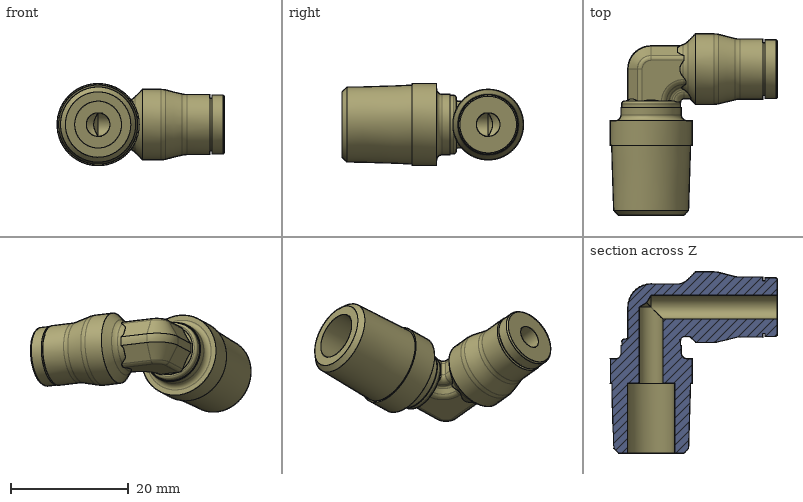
import cadquery as cq
import math


overall_length_x = 28.5
overall_length_y = 30.9
collar_diameter = 14.0
collar_radius = collar_diameter / 2
barrel_radius = 6.03

cap_radius = 5.0
cap_start = 5.4
cap_rounding = 0.5
neck_radius = 5.15
neck_start = 6.5
neck_fillet = 0.93
collar_start = 8.75
collar_end = 12.95
thread_end = overall_length_y - barrel_radius
thread_start_radius = 6.75
thread_taper = 1 / 32
thread_chamfer_length = 0.85
thread_tip_radius = 5.55
flare_start = 5.07
flare_radius = 4.2

shoulder_foot = 4.5
shoulder_blend_start = 5.4
shoulder_foot_angle = math.radians(20)
shoulder_cone_angle = math.radians(45)
shoulder_cone_start = 6.27
barrel_start = 7.57
barrel_end = 10.65
taper_end = 15.1
sleeve_radius = 5.13
sleeve_end = 19.0
release_ring_start = 19.35
release_ring_radius = 5.05
release_ring_chamfer_radius = 4.82
release_ring_chamfer_length = 0.28
groove_radius = 4.5
leg_end = overall_length_x - collar_radius
taper_arc_length = 0.83

elbow_half_height = 4.0
elbow_round_radius = 4.0
slant_distance = 3.77
slant_angle = math.radians(60)
outer_edge_fillet = 0.93
inner_corner = 5.55
inner_slant_shift = 0.28
inner_edge_fillet = 1.0
rib_half_height = 2.4
rib_fillet = 0.5
rib_rounding = 1.2
inner_bend_radius = 0.5
rib_end = 6.8

bore_radius = 2.0
drill_half_angle = math.radians(59)
drill_tip_depth = bore_radius / math.tan(drill_half_angle)
counterbore_radius = 4.0


def revolve_about_x(outline):
    return outline.close().revolve(360, (0, 0, 0), (1, 0, 0))


def revolve_about_y(outline):
    return outline.close().revolve(360, (0, 0, 0), (0, 1, 0))


def make_threaded_leg():
    thread_chamfer_start = thread_end - thread_chamfer_length
    thread_end_radius = thread_start_radius - (thread_chamfer_start - collar_end) * thread_taper
    outline = (
        cq.Workplane("XY")
        .moveTo(0, -flare_start)
        .lineTo(slant_distance, -flare_start)
        .lineTo(flare_radius, -cap_start)
        .lineTo(cap_radius - cap_rounding, -cap_start)
        .tangentArcPoint((cap_radius, -cap_start - cap_rounding), relative=False)
        .lineTo(cap_radius, -neck_start)
        .lineTo(neck_radius, -neck_start)
        .lineTo(neck_radius, -collar_start + neck_fillet)
        .tangentArcPoint((neck_radius + neck_fillet, -collar_start), relative=False)
        .lineTo(collar_radius, -collar_start)
        .lineTo(collar_radius, -collar_end)
        .lineTo(thread_start_radius, -collar_end)
        .lineTo(thread_end_radius, -thread_chamfer_start)
        .lineTo(thread_tip_radius, -thread_end)
        .lineTo(0, -thread_end)
    )
    return revolve_about_y(outline)


def make_push_in_leg():
    cone_length = barrel_start - shoulder_cone_start
    cone_start_radius = barrel_radius - cone_length * math.tan(shoulder_cone_angle)
    blend_length = shoulder_cone_start - shoulder_blend_start
    blend_chord_angle = (shoulder_foot_angle + shoulder_cone_angle) / 2
    blend_start_radius = cone_start_radius - blend_length * math.tan(blend_chord_angle)
    foot_length = shoulder_blend_start - shoulder_foot
    foot_radius = blend_start_radius - foot_length * math.tan(shoulder_foot_angle)
    taper_length = taper_end - barrel_end
    taper_angle = math.atan((barrel_radius - sleeve_radius) / (taper_length - taper_arc_length))
    arc_drop = taper_arc_length * math.tan(taper_angle / 2)
    ring_chamfer_start = leg_end - release_ring_chamfer_length
    outline = (
        cq.Workplane("XY")
        .moveTo(leg_end, 0)
        .lineTo(leg_end, release_ring_chamfer_radius)
        .lineTo(ring_chamfer_start, release_ring_radius)
        .lineTo(release_ring_start, release_ring_radius)
        .lineTo(release_ring_start, groove_radius)
        .lineTo(sleeve_end, groove_radius)
        .lineTo(sleeve_end, sleeve_radius)
        .lineTo(taper_end, sleeve_radius)
        .tangentArcPoint((taper_end - taper_arc_length, sleeve_radius + arc_drop), relative=False)
        .lineTo(barrel_end + taper_arc_length, barrel_radius - arc_drop)
        .tangentArcPoint((barrel_end, barrel_radius), relative=False)
        .lineTo(barrel_start, barrel_radius)
        .lineTo(shoulder_cone_start, cone_start_radius)
        .tangentArcPoint((shoulder_blend_start, blend_start_radius), relative=False)
        .lineTo(shoulder_foot, foot_radius)
        .lineTo(shoulder_foot, 0)
    )
    return revolve_about_x(outline)


def slant_offset(height):
    """Distance from the middle plane of the pipe to a slanted face at a height."""
    return (slant_distance - height * math.cos(slant_angle)) / math.sin(slant_angle)


def fillet_span(radius):
    """Sideways and vertical extent of an arc that turns from level to the slant."""
    return radius * math.sin(slant_angle), radius * (1 - math.cos(slant_angle))


def draw_outer_half(workplane):
    """Upper half of the section on the outer side of the bend (negative first axis)."""
    side, drop = fillet_span(outer_edge_fillet)
    slant_top = elbow_half_height - drop
    slant_top_offset = slant_offset(slant_top)
    slant_facing_angle = math.pi / 2 - slant_angle
    round_angle = slant_facing_angle - math.acos(slant_distance / elbow_round_radius)
    round_top = (
        -elbow_round_radius * math.cos(round_angle),
        elbow_round_radius * math.sin(round_angle),
    )
    round_middle = (
        -elbow_round_radius * math.cos(round_angle / 2),
        elbow_round_radius * math.sin(round_angle / 2),
    )
    return (
        workplane.moveTo(0, 0)
        .lineTo(0, elbow_half_height)
        .lineTo(side - slant_top_offset, elbow_half_height)
        .tangentArcPoint((-slant_top_offset, slant_top), relative=False)
        .lineTo(*round_top)
        .threePointArc(round_middle, (-elbow_round_radius, 0))
        .close()
    )


def draw_inner_half(workplane, near):
    """Upper half of the section on the inner side of the bend, from the offset near to the rib nose."""
    side, drop = fillet_span(inner_edge_fillet)
    slant_top = elbow_half_height - drop
    slant_top_offset = slant_offset(slant_top) + inner_slant_shift
    rib_side, rib_drop = fillet_span(rib_fillet)
    slant_bottom = rib_half_height + rib_drop
    slant_bottom_offset = slant_offset(slant_bottom) + inner_slant_shift
    nose = inner_corner - inner_bend_radius
    return (
        workplane.moveTo(near, 0)
        .lineTo(near, elbow_half_height)
        .lineTo(slant_top_offset - side, elbow_half_height)
        .tangentArcPoint((slant_top_offset, slant_top), relative=False)
        .lineTo(slant_bottom_offset, slant_bottom)
        .tangentArcPoint((slant_bottom_offset + rib_side, rib_half_height), relative=False)
        .lineTo(nose - rib_rounding, rib_half_height)
        .tangentArcPoint((nose, rib_half_height - rib_rounding), relative=False)
        .lineTo(nose, 0)
        .close()
    )


def make_elbow():
    across_y_pipe = cq.Plane(origin=(0, 0, 0), xDir=(1, 0, 0), normal=(0, -1, 0))
    across_x_pipe = cq.Plane(origin=(0, 0, 0), xDir=(0, -1, 0), normal=(-1, 0, 0))

    outer_y = draw_outer_half(cq.Workplane(across_y_pipe)).extrude(inner_corner)
    outer_x = draw_outer_half(cq.Workplane(across_x_pipe)).extrude(-inner_corner)
    outer_turn = draw_outer_half(cq.Workplane(across_y_pipe)).revolve(90, (0, 0, 0), (0, -1, 0))

    inner_turn = draw_inner_half(
        cq.Workplane(across_y_pipe).workplane(offset=inner_corner), -inner_corner / 2
    ).revolve(90, (inner_corner, 0, 0), (inner_corner, -1, 0))
    corner_square = (
        cq.Workplane("XY")
        .center(inner_corner / 2, -inner_corner / 2)
        .rect(inner_corner, inner_corner)
        .extrude(elbow_half_height)
    )
    inner_turn = inner_turn.intersect(corner_square)

    rib_tail = draw_inner_half(
        cq.Workplane(across_x_pipe).workplane(offset=-inner_corner), 0
    ).extrude(inner_corner - rib_end)

    upper_half = outer_y.union(outer_x).union(outer_turn).union(inner_turn).union(rib_tail)
    return upper_half.union(upper_half.mirror("XY"))


def make_bores():
    leg_bore = revolve_about_x(
        cq.Workplane("XY")
        .moveTo(-drill_tip_depth, 0)
        .lineTo(0, bore_radius)
        .lineTo(leg_end, bore_radius)
        .lineTo(leg_end, 0)
    )
    thread_bore = revolve_about_y(
        cq.Workplane("XY")
        .moveTo(0, drill_tip_depth)
        .lineTo(bore_radius, 0)
        .lineTo(bore_radius, -collar_end)
        .lineTo(counterbore_radius, -collar_end)
        .lineTo(counterbore_radius, -thread_end)
        .lineTo(0, -thread_end)
    )
    return leg_bore.union(thread_bore)


body = make_threaded_leg().union(make_push_in_leg()).union(make_elbow())
result = body.cut(make_bores())